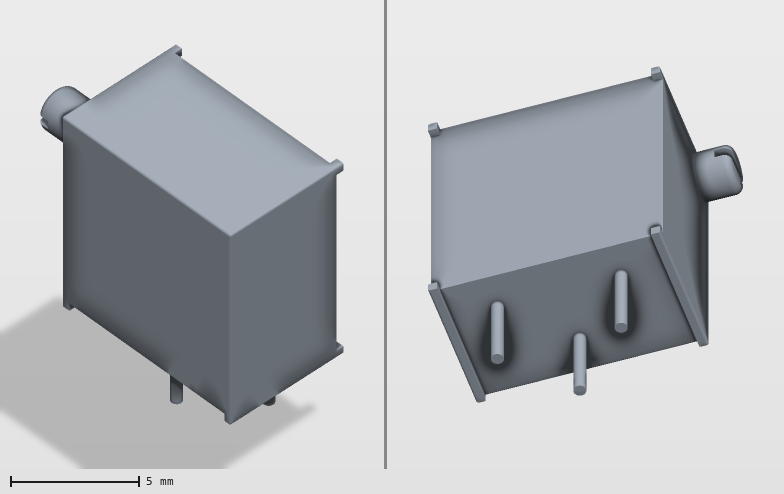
import cadquery as cq

case_width = 9.53
case_depth = 6.1
case_height = 10.03
edge_radius = 0.1
standoff = 0.38

overall_width = 11.05
screw_diameter = 2.0
screw_length = overall_width - case_width
screw_edge_radius = 0.3
screw_from_front = 1.1
screw_below_top = 1.13
slot_width = 0.4
slot_depth = 0.63

overall_height = 12.83
pin_diameter = 0.51
pin_pitch = 2.54
pin_length = overall_height - case_height + standoff
front_row_y = 1.65
rear_row_y = front_row_y + pin_pitch


def make_block(width, depth, height, front_y, base_z):
    """Box centred on X, with its front face and its base at the given places."""
    block = cq.Workplane("XY").box(width, depth, height, centered=(True, False, False))
    return block.translate((0, front_y, base_z))


def make_case():
    """Block with two bottom rails, four rear posts and rounded outer and front edges."""
    inner_width = case_width - 2 * standoff
    inner_height = case_height - 2 * standoff
    post_front_y = case_depth - standoff

    floor_gap = make_block(inner_width, case_depth, standoff, 0, 0)
    upright_rear_gap = make_block(inner_width, standoff, case_height, post_front_y, 0)
    cross_rear_gap = make_block(case_width, standoff, inner_height, post_front_y, standoff)

    block = make_block(case_width, case_depth, case_height, 0, 0).edges("|Y").fillet(edge_radius)
    block = block.cut(floor_gap).faces("<Y").edges().fillet(edge_radius)
    return block.cut(upright_rear_gap).cut(cross_rear_gap)


def make_screw():
    """Round screw head pointing to -X with a rounded rim and a slot along Y."""
    case_side_x = -case_width / 2
    centre_z = case_height - screw_below_top
    head = (
        cq.Workplane("YZ", origin=(case_side_x, screw_from_front, centre_z))
        .circle(screw_diameter / 2)
        .extrude(-screw_length)
        .faces("<X")
        .edges()
        .fillet(screw_edge_radius)
    )
    slot = (
        cq.Workplane("XY")
        .box(slot_depth, screw_diameter, slot_width, centered=(False, True, True))
        .translate((case_side_x - screw_length, screw_from_front, centre_z))
    )
    return head.cut(slot)


def make_pins():
    """Three round pins hanging from the case floor."""
    pin_places = [(-pin_pitch, rear_row_y), (0, front_row_y), (pin_pitch, rear_row_y)]
    return (
        cq.Workplane("XY", origin=(0, 0, standoff))
        .pushPoints(pin_places)
        .circle(pin_diameter / 2)
        .extrude(-pin_length)
    )


result = make_case().union(make_screw()).union(make_pins())